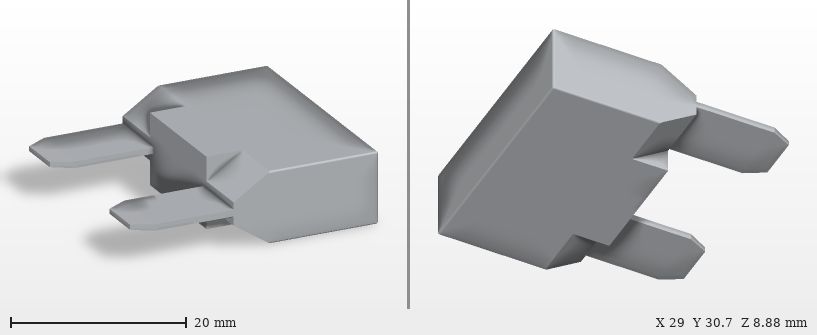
import cadquery as cq

width = 28.95
height = 8.88
total_length = 30.73
body_length = 18.28
edge_radius = 0.25

relief_width = 7.1
relief_length = 4.6
relief_height = 3.0

blade_width = 7.95
blade_side_gap = 0.03
blade_thickness = 0.8
blade_offset_z = 0.12
tip_length = 2.5
tip_inset = 1.3
tip_thickness = 0.6

rear_y = total_length / 2
body_front_y = rear_y - body_length
tip_y = -total_length / 2
shoulder_y = tip_y + tip_length


def make_housing():
    """Block with rounded edges everywhere except around the front face."""
    block = cq.Workplane("XY").box(width, body_length, height)
    block = block.translate((0, rear_y - body_length / 2, 0))
    return block.edges("not <Y").fillet(edge_radius)


def make_relief(side, level):
    """Wedge at one front corner; side is the X sign and level the Z sign."""
    outer_z = level * height / 2
    wedge = (
        cq.Workplane("YZ")
        .moveTo(body_front_y, outer_z)
        .lineTo(body_front_y + relief_length, outer_z)
        .lineTo(body_front_y, outer_z - level * relief_height)
        .close()
        .extrude(relief_width / 2, both=True)
    )
    return wedge.translate((side * (width - relief_width) / 2, 0, 0))


def make_blade(side):
    """Flat blade whose tip tapers in both width and thickness."""
    half_width = blade_width / 2
    half_thickness = blade_thickness / 2
    half_tip = tip_thickness / 2
    plan = (
        cq.Workplane("XY")
        .moveTo(-half_width, body_front_y)
        .lineTo(-half_width, shoulder_y)
        .lineTo(-half_width + tip_inset, tip_y)
        .lineTo(half_width - tip_inset, tip_y)
        .lineTo(half_width, shoulder_y)
        .lineTo(half_width, body_front_y)
        .close()
        .extrude(half_thickness, both=True)
    )
    profile = (
        cq.Workplane("YZ")
        .moveTo(body_front_y, half_thickness)
        .lineTo(shoulder_y, half_thickness)
        .lineTo(tip_y, half_tip)
        .lineTo(tip_y, -half_tip)
        .lineTo(shoulder_y, -half_thickness)
        .lineTo(body_front_y, -half_thickness)
        .close()
        .extrude(half_width, both=True)
    )
    blade = plan.intersect(profile)
    return blade.translate((side * ((width - blade_width) / 2 - blade_side_gap), 0, blade_offset_z))


result = make_housing()
for side in (-1, 1):
    for level in (-1, 1):
        result = result.cut(make_relief(side, level))
    result = result.union(make_blade(side))